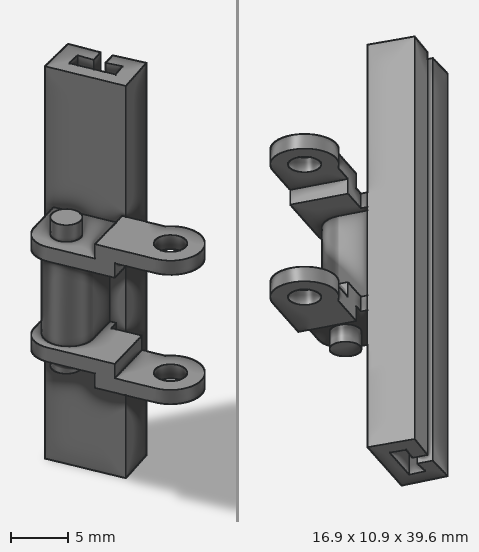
import cadquery as cq


rail_length = 39.6
rail_depth = 4.4
rail_front_width = 7.85
rail_back_width = 7.6
lip_sag = 0.1
slot_width = 1.15
floor_thickness = 1.4
lip_thickness = 1.45
channel_floor_width = 4.5
channel_top_width = 4.35

plate_thickness = 1.45
plate_gap = 8.7
plate_left = -3.07
plate_reach = 6.46
plate_corner_radius = 2.5
neck_right = 3.0
arm_setback = 1.0
inner_step_x = 5.97
outer_step_x = 4.05

eye_radius = 3.0
eye_hole_diameter = 2.9
overall_length = 16.85
eye_x = overall_length - rail_front_width / 2 - eye_radius
eye_y = eye_radius - plate_reach

roller_radius = 2.38
roller_y = -3.35
pin_diameter = 2.8
pin_length = 15.0
pin_x = -0.05
pin_y = -3.7

inner_plate_z = plate_gap / 2
outer_arm_z = inner_plate_z + plate_thickness


def make_rail():
    lip_tip_y = rail_depth - lip_sag
    lip_underside_y = lip_tip_y - lip_thickness
    right_half = [
        (0, 0),
        (rail_front_width / 2, 0),
        (rail_back_width / 2, rail_depth),
        (slot_width / 2, lip_tip_y),
        (slot_width / 2, lip_underside_y),
        (channel_top_width / 2, lip_underside_y + lip_sag),
        (channel_floor_width / 2, floor_thickness),
        (0, floor_thickness),
    ]
    half = cq.Workplane("XY").polyline(right_half).close().extrude(rail_length / 2, both=True)
    return half.union(half.mirror("YZ"))


def make_inner_plate():
    """Plate lying against the roller, joined to the rail by its neck."""
    outline = [
        (plate_left, 0),
        (plate_left, -plate_reach),
        (inner_step_x, -plate_reach),
        (inner_step_x, -arm_setback),
        (neck_right, -arm_setback),
        (neck_right, 0),
    ]
    plate = (
        cq.Workplane("XY")
        .workplane(offset=inner_plate_z)
        .polyline(outline)
        .close()
        .extrude(plate_thickness)
    )
    return plate.edges("|Z").edges("<X and <Y").fillet(plate_corner_radius)


def make_outer_arm():
    """Arm stacked on the outside of the inner plate, ending in a round eye."""
    base = cq.Workplane("XY").workplane(offset=outer_arm_z)
    arm_size_x = eye_x - outer_step_x
    arm_size_y = plate_reach - arm_setback
    arm = (
        base.center(outer_step_x, -plate_reach)
        .rect(arm_size_x, arm_size_y, centered=False)
        .extrude(plate_thickness)
    )
    eye = base.center(eye_x, eye_y).circle(eye_radius).extrude(plate_thickness)
    hole = base.center(eye_x, eye_y).circle(eye_hole_diameter / 2).extrude(plate_thickness)
    return arm.union(eye).cut(hole)


def make_roller():
    """Round-nosed block spanning the plates and running back to the rail."""
    return (
        cq.Workplane("XY")
        .moveTo(-roller_radius, 0)
        .lineTo(-roller_radius, roller_y)
        .threePointArc((0, roller_y - roller_radius), (roller_radius, roller_y))
        .lineTo(roller_radius, 0)
        .close()
        .extrude(plate_gap / 2, both=True)
    )


def make_pin():
    return (
        cq.Workplane("XY")
        .center(pin_x, pin_y)
        .circle(pin_diameter / 2)
        .extrude(pin_length / 2, both=True)
    )


upper_link = make_inner_plate().union(make_outer_arm())
lower_link = upper_link.mirror("XY")

result = make_rail().union(make_roller()).union(upper_link).union(lower_link).union(make_pin())